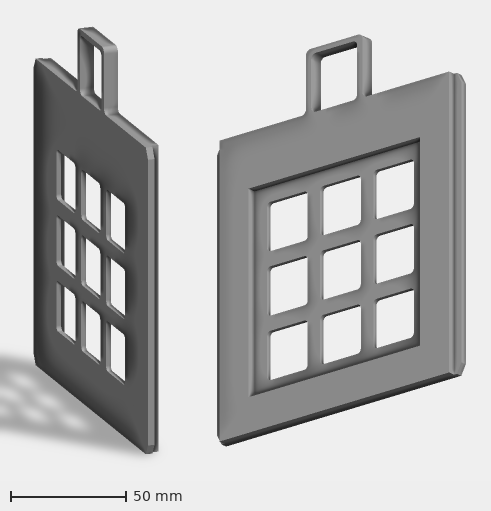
import cadquery as cq

total_height = 170.0
plate_width = 138.0
thickness = 6.5
flange_thickness = 3.0
edge_step = 4.0
corner_cut_x = 2.5
corner_cut_z = 4.8

handle_height = 30.0
handle_width = 32.0
handle_opening_width = 26.0
handle_top_wall = 2.5
handle_corner_radius = 2.5
handle_opening_radius = 2.5

window_count = 3
window_size = 23.0
grid_size = 83.0
window_radius = 2.0
grid_center_z = 65.1

recess_floor = 2.2

plate_height = total_height - handle_height
back_width = plate_width - 2 * edge_step
handle_opening_height = handle_height - handle_top_wall
window_pitch = (grid_size - window_size) / (window_count - 1)
window_bar = window_pitch - window_size
recess_size = grid_size + 2 * window_bar


def block(width, depth, height, bottom_z):
    """Box centred on X, with its front face at y = 0."""
    box = cq.Workplane("XY").box(width, depth, height, centered=(True, False, False))
    return box.translate((0, 0, bottom_z))


def rounded_opening(width, height, radius, center_x, center_z):
    """Cutter with rounded corners, passing through the full thickness."""
    cutter = block(width, thickness, height, center_z - height / 2)
    return cutter.edges("|Y").fillet(radius).translate((center_x, 0, 0))


def make_flange():
    half_width = plate_width / 2
    cut_x = half_width - corner_cut_x
    cut_z = plate_height - corner_cut_z
    outline = [
        (-cut_x, 0),
        (cut_x, 0),
        (half_width, corner_cut_z),
        (half_width, cut_z),
        (cut_x, plate_height),
        (-cut_x, plate_height),
        (-half_width, cut_z),
        (-half_width, corner_cut_z),
    ]
    return cq.Workplane("XZ").polyline(outline).close().extrude(-flange_thickness)


def make_handle():
    """Handle with rounded top corners and concave blends into the plate edge."""
    radius = handle_corner_radius
    loop = block(handle_width, thickness, handle_height, plate_height)
    loop = loop.edges("|Y and >Z").fillet(radius)

    root = block(handle_width + 2 * radius, thickness, radius, plate_height)
    for side in (-1, 1):
        blend_x = side * (handle_width / 2 + radius)
        scoop = (
            cq.Workplane("XZ")
            .center(blend_x, plate_height + radius)
            .circle(radius)
            .extrude(-thickness)
        )
        root = root.cut(scoop)
    return loop.union(root)


def cut_back_recess(body):
    """Open the back behind the whole grid, with a margin of one bar around it."""
    recess_bottom = grid_center_z - recess_size / 2
    recess = block(recess_size, thickness - recess_floor, recess_size, recess_bottom)
    return body.cut(recess.translate((0, recess_floor, 0)))


def cut_windows(body):
    middle = (window_count - 1) / 2
    for column in range(window_count):
        for row in range(window_count):
            center_x = (column - middle) * window_pitch
            center_z = grid_center_z + (row - middle) * window_pitch
            window = rounded_opening(window_size, window_size, window_radius, center_x, center_z)
            body = body.cut(window)
    return body


def cut_handle_opening(body):
    opening = rounded_opening(
        handle_opening_width,
        handle_opening_height,
        handle_opening_radius,
        0,
        plate_height + handle_opening_height / 2,
    )
    return body.cut(opening)


raised_back = block(back_width, thickness, plate_height, 0)
plate = make_flange().union(raised_back).union(make_handle())
plate = cut_back_recess(plate)
plate = cut_windows(plate)
result = cut_handle_opening(plate)